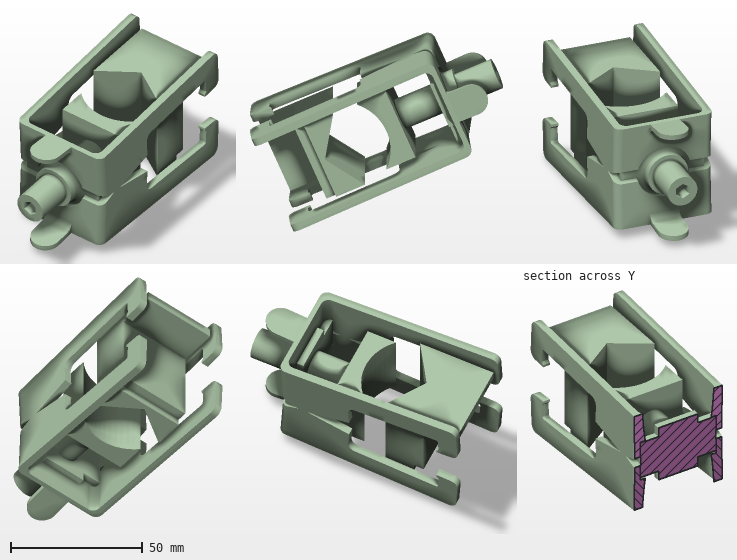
import cadquery as cq
import math


tilt = 3.0
bracket_width = 40.0
side_wall = 3.0
web_wall = 2.0
bend_radius = 3.0
arm_end = 64.0
web_face = -11.0
half_height = 22.0
collar_clearance_radius = 11.0

window_front = 18.0
window_top = 13.0
window_radius = 3.0
hook_length = 8.0
hook_bottom = 5.0
hook_radius = 3.0
hook_corner_radius = 1.0
lip_size = 1.0
lip_height = 1.0

window_gap_half = 3.0
web_gap_half = 3.1
contact_length = 3.6
tooth_radius = 1.5
tooth_y = -1.0

tab_width = 12.0
tab_thickness = 2.0
tab_length = 14.0
tab_angle = 8.0
tab_fillet = 3.0

clamp_axis_z = 0.42

shaft_diameter = 12.0
collar_diameter = 16.49
screw_tip = -30.42
collar_end = -15.4
flange_front = -9.4
flange_back = -6.65
flange_fillet = 3.0
flange_wing_height = 16.0
flange_core_width = 18.0
flange_core_height = 24.0
socket_flats = 5.4
socket_depth = 5.0

pad_width = 28.0
pad_length = 12.0
pad_height = 30.0
pad_back = 9.5
pad_hollow = 6.0

block_width = 30.4
block_height = 38.0
block_front = 31.0
block_length = 31.0
vee_depth = 10.0
block_body_length = 16.0
foot_length = 12.0
ledge_height = 4.0
foot_height = 3.0

inside_width = bracket_width - 2 * side_wall


def extrude_across(profile, width):
    """Extrude a closed YZ profile symmetrically about X = 0."""
    return profile.extrude(width / 2, both=True)


def side_outline():
    """Solid with the side outline of an upper half, filling the whole width."""
    angle = math.radians(tilt)
    contact_end = (-contact_length * math.cos(angle), contact_length * math.sin(angle))
    hook_inner = arm_end - hook_length
    points = [
        (0, 0),
        (window_front, window_gap_half),
        (window_front, window_top),
        (hook_inner, window_top),
        (hook_inner, hook_bottom + lip_height + lip_size),
        (hook_inner - lip_size, hook_bottom + lip_height),
        (hook_inner - lip_size, hook_bottom),
        (arm_end, hook_bottom),
        (arm_end, half_height),
        (web_face, half_height),
        (web_face, web_gap_half),
        contact_end,
    ]
    blank = extrude_across(cq.Workplane("YZ").polyline(points).close(), bracket_width)
    rounded_corners = [
        (window_front, window_top, window_radius),
        (hook_inner, window_top, hook_corner_radius),
        (arm_end, hook_bottom, hook_radius),
        (arm_end, half_height, hook_radius),
    ]
    for y, z, radius in rounded_corners:
        corner = cq.selectors.NearestToPointSelector((0, y, z))
        blank = blank.edges("|X").edges(corner).fillet(radius)
    return blank


def bent_strip():
    """U-shaped strip: two side walls joined by the web."""

    def channel(width, front):
        length = arm_end - front
        return (
            cq.Workplane("XY")
            .center(0, front + length / 2)
            .rect(width, length)
            .extrude(half_height)
            .edges("|Z and <Y")
            .fillet(bend_radius)
        )

    return channel(bracket_width, web_face).cut(channel(inside_width, web_face + web_wall))


def finger_tab():
    """Round-ended rising tab on the top edge of the web, with a quarter-round fillet below its root."""
    slope = math.tan(math.radians(tab_angle))
    tip_rise = tab_length * slope
    drop = tab_thickness / math.cos(math.radians(tab_angle))
    fillet_top = tab_fillet * slope - drop
    on_arc = tab_fillet * (1 - math.sqrt(0.5))
    profile = (
        cq.Workplane("YZ")
        .moveTo(0, 0)
        .lineTo(-tab_length, tip_rise)
        .lineTo(-tab_length, tip_rise - drop)
        .lineTo(-tab_fillet, fillet_top)
        .threePointArc((-on_arc, fillet_top - on_arc), (0, fillet_top - tab_fillet))
        .close()
    )
    end_start = tab_width / 2 - tab_length
    plan = (
        cq.Workplane("XY")
        .moveTo(-tab_width / 2, 0)
        .lineTo(-tab_width / 2, end_start)
        .threePointArc((0, -tab_length), (tab_width / 2, end_start))
        .lineTo(tab_width / 2, 0)
        .close()
        .extrude(half_height, both=True)
    )
    return extrude_across(profile, tab_width).intersect(plan).translate((0, web_face, half_height))


def bracket_half():
    """Upper half with its seam at the bottom, tilted into place."""
    half = side_outline().intersect(bent_strip()).union(finger_tab())
    hole = cq.Workplane("XZ").circle(collar_clearance_radius).extrude(-web_face + web_wall)
    return half.cut(hole).rotate((0, 0, 0), (1, 0, 0), tilt)


def hinge_teeth():
    """Round hinge teeth, one in each side wall."""
    teeth = extrude_across(cq.Workplane("YZ").center(tooth_y, 0).circle(tooth_radius), bracket_width)
    return teeth.cut(cq.Workplane("XY").box(inside_width, arm_end, half_height))


def build_screw():
    """Stepped screw with a filleted collar and a cross-shaped flange."""
    shaft_radius = shaft_diameter / 2
    collar_radius = collar_diameter / 2
    root_radius = collar_radius + flange_fillet
    fillet_end = flange_front - flange_fillet
    on_arc = flange_fillet * math.sqrt(0.5)
    body = (
        cq.Workplane("XY")
        .moveTo(0, screw_tip)
        .lineTo(shaft_radius, screw_tip)
        .lineTo(shaft_radius, collar_end)
        .lineTo(collar_radius, collar_end)
        .lineTo(collar_radius, fillet_end)
        .threePointArc((root_radius - on_arc, fillet_end + on_arc), (root_radius, flange_front))
        .lineTo(root_radius, flange_back)
        .lineTo(shaft_radius, flange_back)
        .lineTo(shaft_radius, pad_back)
        .lineTo(0, pad_back)
        .close()
        .revolve(360, (0, 0, 0), (0, 1, 0))
    )
    thickness = flange_back - flange_front
    flange_plane = cq.Workplane("XZ", origin=(0, flange_back, 0))
    wings = flange_plane.rect(inside_width, flange_wing_height).extrude(thickness)
    core = flange_plane.rect(flange_core_width, flange_core_height).extrude(thickness)
    socket_corners = socket_flats / math.cos(math.pi / 6)
    socket = cq.Workplane("XZ", origin=(0, screw_tip, 0)).polygon(6, socket_corners)
    socket = socket.extrude(-socket_depth).rotate((0, 0, 0), (0, 1, 0), 30)
    return body.union(wings).union(core).cut(socket)


def build_pad():
    """Pressure pad with a cylindrical seat facing the V block."""
    pad_front = pad_back + pad_length
    return (
        cq.Workplane("XY")
        .moveTo(-pad_width / 2, pad_back)
        .lineTo(-pad_width / 2, pad_front)
        .threePointArc((0, pad_front - pad_hollow), (pad_width / 2, pad_front))
        .lineTo(pad_width / 2, pad_back)
        .close()
        .extrude(pad_height / 2, both=True)
    )


def build_v_block():
    """V block with a long ledge on top and a short foot underneath."""
    top = block_height / 2
    ledge_bottom = top - ledge_height
    foot_top = foot_height - top
    body_back = block_front + block_body_length
    profile = [
        (block_front, -top),
        (block_front + foot_length, -top),
        (block_front + foot_length, foot_top),
        (body_back, foot_top),
        (body_back, ledge_bottom),
        (block_front + block_length, ledge_bottom),
        (block_front + block_length, top),
        (block_front, top),
    ]
    vee = [
        (-block_width / 2, block_front),
        (0, block_front + vee_depth),
        (block_width / 2, block_front),
    ]
    block = extrude_across(cq.Workplane("YZ").polyline(profile).close(), block_width)
    return block.cut(cq.Workplane("XY").polyline(vee).close().extrude(top, both=True))


clamp_axis = (0, 0, clamp_axis_z)
screw = build_screw().translate(clamp_axis)
pad = build_pad().translate(clamp_axis)
v_block = build_v_block().translate(clamp_axis)

half = bracket_half().cut(screw)
upper_bracket = half.union(hinge_teeth())
lower_bracket = half.mirror("XY").cut(hinge_teeth())

result = cq.Compound.makeCompound(
    [upper_bracket.val(), lower_bracket.val(), v_block.val(), pad.val(), screw.val()]
)